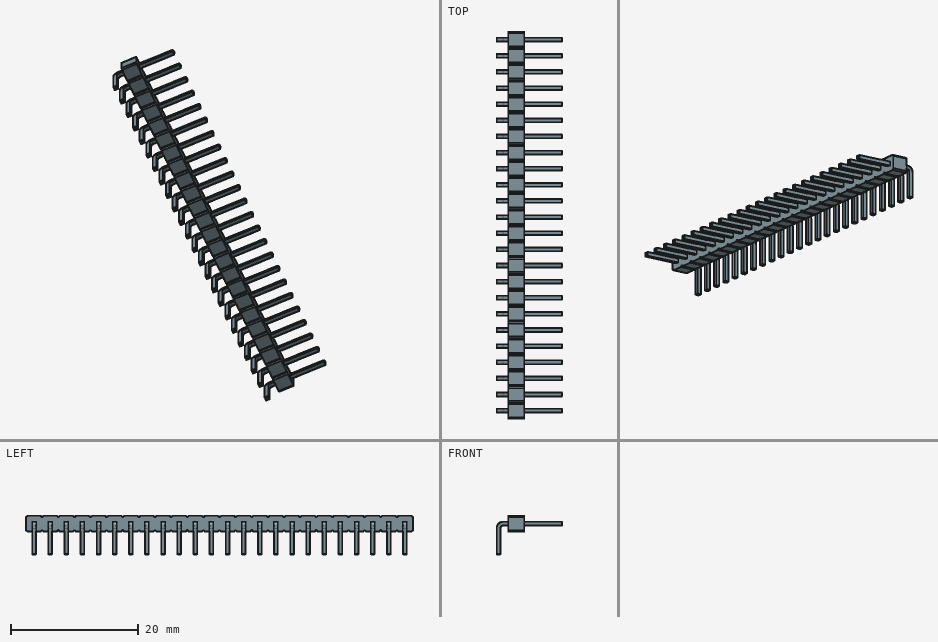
import cadquery as cq

PIN_COUNT = 24
STRIP_LENGTH = 60.95
OVERALL_WIDTH = 10.35
OVERALL_HEIGHT = 6.15
HOUSING_OFFSET = 1.8
HOUSING_CHAMFER = 0.25
PIN_TIP_CHAMFER = 0.14
BEND_INNER_RADIUS = 0.35

PITCH = STRIP_LENGTH / PIN_COUNT
HOUSING_SIZE = PITCH
PIN_SIZE = PITCH / 4
BEND_OUTER_RADIUS = BEND_INNER_RADIUS + PIN_SIZE

LEG_OUTER_X = -HOUSING_SIZE / 2 - HOUSING_OFFSET
LEG_INNER_X = LEG_OUTER_X + PIN_SIZE
TAIL_END_X = LEG_OUTER_X + OVERALL_WIDTH
LEG_BOTTOM_Z = HOUSING_SIZE / 2 - OVERALL_HEIGHT
PIN_TOP_Z = PIN_SIZE / 2
PIN_UNDERSIDE_Z = -PIN_SIZE / 2


def housing_cell():
    """One housing cell with its four edges along X chamfered."""
    cell = cq.Workplane("XY").box(HOUSING_SIZE, PITCH, HOUSING_SIZE)
    return cell.edges("|X").chamfer(HOUSING_CHAMFER)


def bent_pin():
    """A square right-angle pin, rounded at the bend and chamfered at both tips."""
    bar = (
        cq.Workplane("XZ")
        .moveTo(TAIL_END_X, PIN_TOP_Z)
        .lineTo(LEG_OUTER_X, PIN_TOP_Z)
        .lineTo(LEG_OUTER_X, LEG_BOTTOM_Z)
        .lineTo(LEG_INNER_X, LEG_BOTTOM_Z)
        .lineTo(LEG_INNER_X, PIN_UNDERSIDE_Z)
        .lineTo(TAIL_END_X, PIN_UNDERSIDE_Z)
        .close()
        .extrude(PIN_SIZE / 2, both=True)
    )
    outer_corner = cq.NearestToPointSelector((LEG_OUTER_X, 0, PIN_TOP_Z))
    inner_corner = cq.NearestToPointSelector((LEG_INNER_X, 0, PIN_UNDERSIDE_Z))
    bar = bar.edges("|Y").edges(outer_corner).fillet(BEND_OUTER_RADIUS)
    bar = bar.edges("|Y").edges(inner_corner).fillet(BEND_INNER_RADIUS)
    return bar.faces(">X or <Z").edges().chamfer(PIN_TIP_CHAMFER)


cell = housing_cell()
pin = bent_pin()
pieces = []
for index in range(PIN_COUNT):
    center_y = (index + 0.5) * PITCH - STRIP_LENGTH / 2
    pieces.append(cell.translate((0, center_y, 0)).val())
    pieces.append(pin.translate((0, center_y, 0)).val())

result = cq.Workplane(obj=pieces[0].fuse(*pieces[1:]).clean())